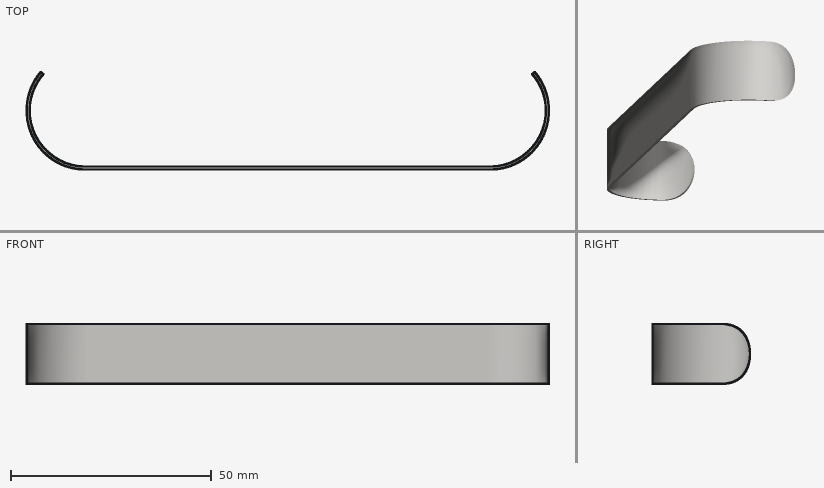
import cadquery as cq
import math

length = 130.1
depth = 24.3
width = 15.0
thickness = 0.81
bend_radius = 14.7

half_straight = length / 2 - bend_radius
inner_radius = bend_radius - thickness
tip_angle = math.asin((depth - bend_radius) / bend_radius)
tip_radius = width / 2


def hook_point(radius, angle):
    """Point on the right-hand hook, at an angle about its bend centre."""
    return (
        half_straight + radius * math.cos(angle),
        bend_radius + radius * math.sin(angle),
    )


def straight_strip():
    return cq.Workplane("XY").box(
        2 * half_straight, thickness, width, centered=(True, False, True)
    )


def bent_strip():
    """Right-hand hook with a square end cut along the bend radius."""
    bend_start = -math.pi / 2
    bend_middle = (bend_start + tip_angle) / 2
    return (
        cq.Workplane("XY")
        .workplane(offset=-width / 2)
        .moveTo(*hook_point(bend_radius, bend_start))
        .threePointArc(hook_point(bend_radius, bend_middle), hook_point(bend_radius, tip_angle))
        .lineTo(*hook_point(inner_radius, tip_angle))
        .threePointArc(hook_point(inner_radius, bend_middle), hook_point(inner_radius, bend_start))
        .close()
        .extrude(width)
    )


def tip_waste():
    """Material outside the full-round tip, cut along the bend radius at the tip."""
    tip_x, tip_y = hook_point(0, tip_angle)
    radial = (math.cos(tip_angle), math.sin(tip_angle), 0)
    tangent = (-math.sin(tip_angle), math.cos(tip_angle), 0)
    end_plane = cq.Plane(origin=(tip_x, tip_y, 0), xDir=tangent, normal=radial)
    cut_reach = 2 * bend_radius
    block = (
        cq.Workplane(end_plane)
        .center(-tip_radius / 2, 0)
        .rect(tip_radius, width)
        .extrude(cut_reach)
    )
    round_end = cq.Workplane(end_plane).center(-tip_radius, 0).circle(tip_radius).extrude(cut_reach)
    return block.cut(round_end)


right_hook = bent_strip().cut(tip_waste())
left_hook = right_hook.mirror("YZ")
result = straight_strip().union(right_hook).union(left_hook)